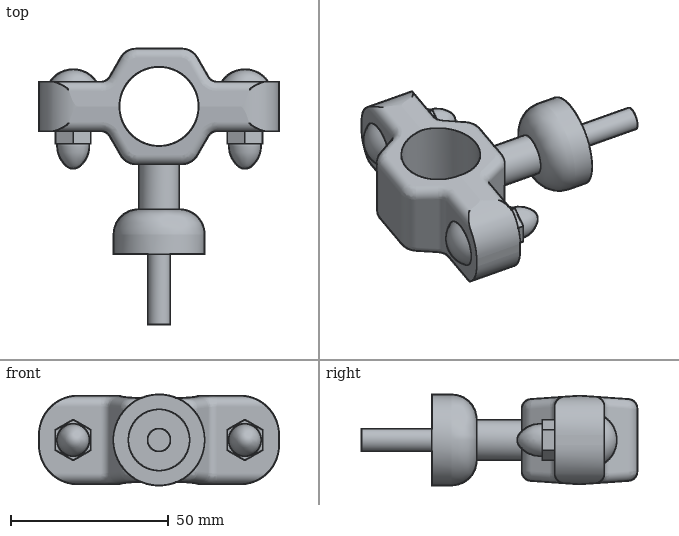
import cadquery as cq
import math

tolerance = 0.1

length = 76.2
ridge_height = 28.2
roof_slope = 4.0
hub_half_depth = 18.4
hub_flat_half = 10.5
hub_side_angle = 60.0
arm_half_depth = 7.9
bore_diameter = 25.0
hub_corner_radius = 5.8
arm_root_radius = 3.1
rim_radius = 3.15
arm_end_radius = 12.5

bolt_x = 27.2
head_radius = 7.35
head_height = 3.9
nut_flats = 11.2
nut_height = 4.0
cap_radius = 5.2
cap_collar = 0.7
cap_shoulder_radius = 2.3
cap_side_height = 6.2
cap_side_arc = 8.2
cap_tip_height = 1.0

stem_radius = 6.5
cup_diameter = 28.95
cup_back_y = -32.5
cup_front_y = -46.8
cup_bore_radius = 9.7
cup_bore_depth = 9.0
rod_diameter = 7.3
rod_end_y = -69.1


def make_body():
    """Hub and arms under a shallow roof, with rounded rims and rounded arm ends."""
    half_length = length / 2
    root_x = hub_flat_half + (hub_half_depth - arm_half_depth) / math.tan(math.radians(hub_side_angle))
    front = [
        (-half_length, -arm_half_depth),
        (-root_x, -arm_half_depth),
        (-hub_flat_half, -hub_half_depth),
        (hub_flat_half, -hub_half_depth),
        (root_x, -arm_half_depth),
        (half_length, -arm_half_depth),
    ]
    back = [(-x, -y) for x, y in front]
    body = cq.Workplane("XY").polyline(front + back).close().extrude(ridge_height / 2, both=True)

    hub_corners = body.edges("|Z").filter(lambda e: abs(abs(e.Center().x) - hub_flat_half) < tolerance)
    body = hub_corners.fillet(hub_corner_radius)
    arm_roots = body.edges("|Z").filter(lambda e: abs(abs(e.Center().x) - root_x) < tolerance)
    body = arm_roots.fillet(arm_root_radius)

    half_ridge = ridge_height / 2
    half_eave = half_ridge - hub_half_depth * math.tan(math.radians(roof_slope))
    roof_outline = [
        (0, half_ridge),
        (hub_half_depth, half_eave),
        (hub_half_depth, -half_eave),
        (0, -half_ridge),
        (-hub_half_depth, -half_eave),
        (-hub_half_depth, half_eave),
    ]
    roof = cq.Workplane("YZ").polyline(roof_outline).close().extrude(half_length, both=True)
    body = body.intersect(roof)

    rims = body.edges().filter(
        lambda e: abs(e.Center().z) > half_eave / 2 and abs(e.Center().y) > arm_half_depth - tolerance
    )
    body = rims.fillet(rim_radius)

    rounded_ends = (
        cq.Workplane("XZ")
        .rect(length, ridge_height)
        .extrude(hub_half_depth, both=True)
        .edges("|Y")
        .fillet(arm_end_radius)
    )
    return body.intersect(rounded_ends)


def turn(half_profile, x):
    """Revolve a half profile about the Y axis and move it to a bolt position."""
    return half_profile.close().revolve(360, (0, 0, 0), (0, 1, 0)).translate((x, 0, 0))


def dome_radius(base_radius, height):
    """Sphere radius of a dome from its base radius and height."""
    return (base_radius**2 + height**2) / (2 * height)


def make_bolt(x):
    """Nut, cap and head at one arm, on an axis parallel to Y."""
    nut_y = -arm_half_depth - nut_height
    collar_y = nut_y - cap_collar
    shoulder_y = collar_y - cap_side_height

    nut = (
        cq.Workplane("XZ", origin=(x, -arm_half_depth, 0))
        .polygon(6, nut_flats, circumscribed=True)
        .extrude(nut_height)
    )
    cap = turn(
        cq.Workplane("XY")
        .moveTo(0, nut_y)
        .lineTo(cap_radius, nut_y)
        .lineTo(cap_radius, collar_y)
        .radiusArc((cap_shoulder_radius, shoulder_y), cap_side_arc)
        .radiusArc((0, shoulder_y - cap_tip_height), dome_radius(cap_shoulder_radius, cap_tip_height)),
        x,
    )
    head = turn(
        cq.Workplane("XY")
        .moveTo(0, arm_half_depth)
        .lineTo(head_radius, arm_half_depth)
        .radiusArc((0, arm_half_depth + head_height), -dome_radius(head_radius, head_height)),
        x,
    )
    return nut.union(cap).union(head)


def make_bar(radius, start_y, end_y):
    """Round bar along -Y on the part's centreline."""
    return cq.Workplane("XZ", origin=(0, start_y, 0)).circle(radius).extrude(start_y - end_y)


def make_cup():
    """Cup whose rounded back runs into the stem, open towards -Y."""
    cup_radius = cup_diameter / 2
    cup = make_bar(cup_radius, cup_back_y, cup_front_y)
    cup = cup.faces(">Y").edges().fillet(cup_radius - stem_radius)
    cavity = make_bar(cup_bore_radius, cup_front_y + cup_bore_depth, cup_front_y)
    return cup.cut(cavity)


result = make_body()
for side in (-1, 1):
    result = result.union(make_bolt(side * bolt_x))

result = result.union(make_bar(stem_radius, -bore_diameter / 2, cup_back_y))
result = result.cut(cq.Workplane("XY").circle(bore_diameter / 2).extrude(ridge_height, both=True))
result = result.union(make_cup()).union(make_bar(rod_diameter / 2, cup_back_y, rod_end_y))